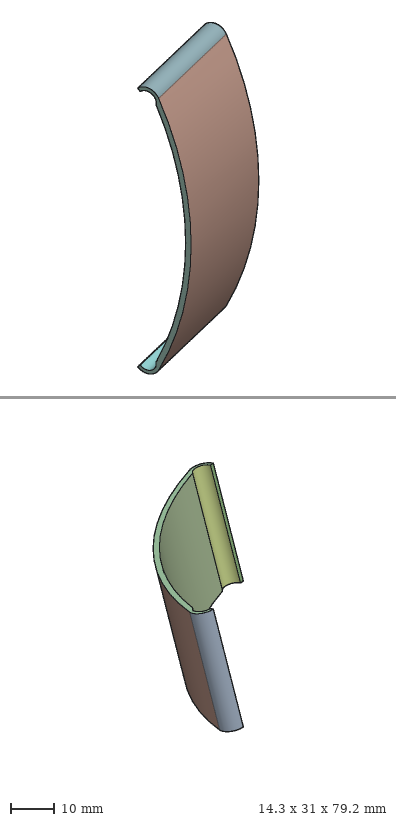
import cadquery as cq
import math

WIDTH = 31.0
HEIGHT = 79.2
BOW_OUTER_RADIUS = 86.0
BOW_THICKNESS = 1.5
CURL_OUTER_RADIUS = 3.5
CURL_THICKNESS = 1.0
LIP_END_ANGLE = 135.0

bow_inner_radius = BOW_OUTER_RADIUS - BOW_THICKNESS
curl_inner_radius = CURL_OUTER_RADIUS - CURL_THICKNESS

curl_distance = BOW_OUTER_RADIUS - CURL_OUTER_RADIUS
curl_z = HEIGHT / 2 - CURL_OUTER_RADIUS
curl_x = math.sqrt(curl_distance**2 - curl_z**2)
tangent_angle = math.degrees(math.asin(curl_z / curl_distance))

corner_cosine = (bow_inner_radius**2 - curl_distance**2 - curl_inner_radius**2) / (
    2 * curl_distance * curl_inner_radius
)
corner_angle = tangent_angle - math.degrees(math.acos(corner_cosine))


def curl_point(radius, angle):
    """Point (x, z) on the upper lip at an angle in degrees from +X."""
    turn = math.radians(angle)
    return (curl_x + radius * math.cos(turn), curl_z + radius * math.sin(turn))


def mirrored(point):
    """Matching point on the lower half of the profile."""
    return (point[0], -point[1])


def profile():
    """Closed cross-section in the XZ plane, symmetric about Z = 0."""
    outer_tip = curl_point(CURL_OUTER_RADIUS, LIP_END_ANGLE)
    outer_crown = curl_point(CURL_OUTER_RADIUS, (LIP_END_ANGLE + tangent_angle) / 2)
    outer_tangent = curl_point(CURL_OUTER_RADIUS, tangent_angle)
    inner_tip = curl_point(curl_inner_radius, LIP_END_ANGLE)
    inner_crown = curl_point(curl_inner_radius, (LIP_END_ANGLE + corner_angle) / 2)
    inner_corner = curl_point(curl_inner_radius, corner_angle)
    return (
        cq.Workplane("XZ")
        .moveTo(*outer_tip)
        .threePointArc(outer_crown, outer_tangent)
        .threePointArc((BOW_OUTER_RADIUS, 0), mirrored(outer_tangent))
        .threePointArc(mirrored(outer_crown), mirrored(outer_tip))
        .lineTo(*mirrored(inner_tip))
        .threePointArc(mirrored(inner_crown), mirrored(inner_corner))
        .threePointArc((bow_inner_radius, 0), inner_corner)
        .threePointArc(inner_crown, inner_tip)
        .close()
    )


result = profile().extrude(WIDTH / 2, both=True)